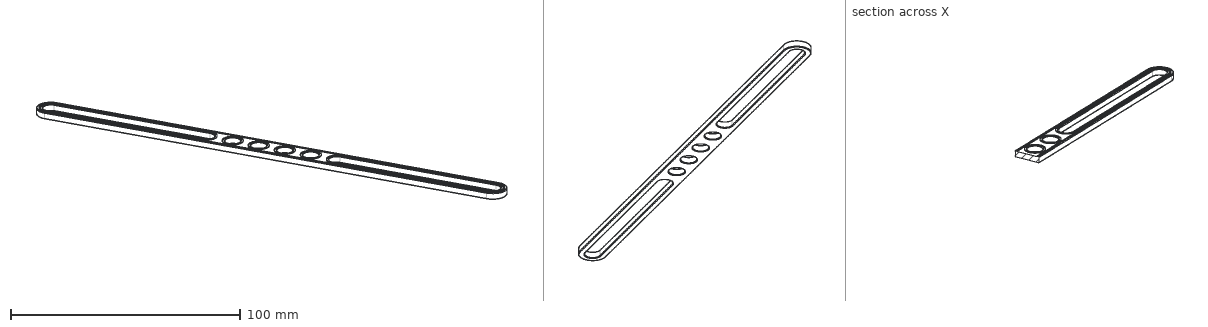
import cadquery as cq

length = 225.0
width = 12.5
thickness = 3.2

opening_width = 7.0
hole_count = 4
slot_inner_round_x = 31.3

hole_pitch = 2 * slot_inner_round_x / (hole_count + 1)

slot_outer_round_x = (length - width) / 2
slot_center_x = (slot_inner_round_x + slot_outer_round_x) / 2
slot_round_spacing = slot_outer_round_x - slot_inner_round_x

rim_outer_width = 9.2
rim_width = (rim_outer_width - opening_width) / 2
recess_depth = 0.2

edge_chamfer = 0.34


def make_bar():
    """Round-ended flat bar."""
    return cq.Workplane("XY").slot2D(length, width).extrude(thickness / 2, both=True)


def make_opening_cores(core_width):
    """Solids of the given width standing in every hole and slot, as thick as the bar."""
    holes = cq.Workplane("XY").rarray(hole_pitch, 2.2, hole_count, 1).circle(core_width / 2)
    slots = cq.Workplane("XY").pushPoints([(-slot_center_x, 0), (slot_center_x, 0)])
    slots = slots.slot2D(slot_round_spacing + core_width, core_width)
    holes = holes.extrude(thickness / 2, both=True)
    return holes.union(slots.extrude(thickness / 2, both=True))


def cut_openings(bar):
    """Cut the holes and slots through the bar."""
    return bar.cut(make_opening_cores(opening_width))


def chamfer_edges(bar):
    """Chamfer the outline and every opening on the top and bottom faces."""
    return bar.faces("|Z").edges().chamfer(edge_chamfer)


def cut_recess(bar):
    """Lower the top face everywhere except on the rims."""
    recess = cq.Workplane("XY").workplane(offset=thickness / 2 - recess_depth)
    recess = recess.slot2D(length - 2 * rim_width, width - 2 * rim_width).extrude(recess_depth)
    return bar.cut(recess.cut(make_opening_cores(rim_outer_width)))


result = cut_recess(chamfer_edges(cut_openings(make_bar())))